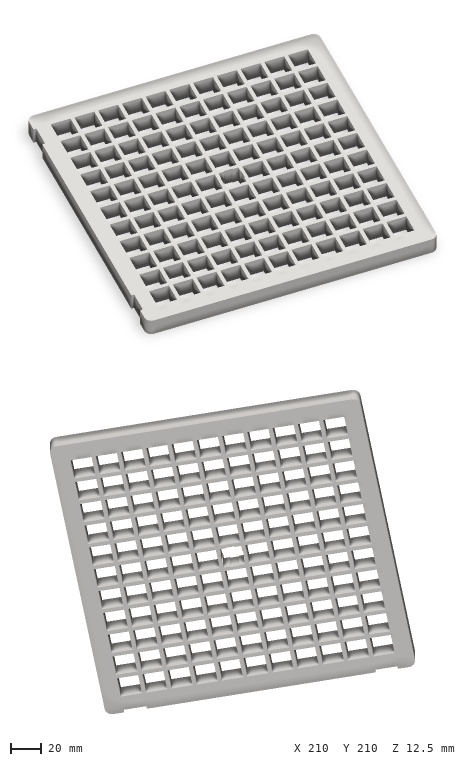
import cadquery as cq

plate_side = 210.0
plate_thickness = 12.5
corner_radius = 5.0

cells_per_side = 11
cell_size = 14.3
wall_thickness = 2.8
cell_pitch = cell_size + wall_thickness
grid_side = cells_per_side * cell_pitch - wall_thickness

groove_width = 6.0
groove_depth = 0.5
groove_span = cell_size + 2 * groove_depth

notch_width = 15.3
notch_depth = 2.0
notch_center_x = (grid_side - notch_width) / 2


def make_plate():
    """Square plate with rounded vertical corners, resting on Z = 0."""
    plate = cq.Workplane("XY").box(
        plate_side, plate_side, plate_thickness, centered=(True, True, False)
    )
    return plate.edges("|Z").fillet(corner_radius)


def full_height_cutter(size_x, size_y):
    """Rectangular cutter as tall as the plate, centred on the Z axis."""
    return cq.Workplane("XY").rect(size_x, size_y).extrude(plate_thickness)


def cut_grid(body):
    """Cut the centred array of square openings through the plate."""
    openings = (
        cq.Workplane("XY")
        .rarray(cell_pitch, cell_pitch, cells_per_side, cells_per_side)
        .rect(cell_size, cell_size)
        .extrude(plate_thickness)
    )
    return body.cut(openings)


def cut_center_grooves(body):
    """Cut a cross through the central cell, grooving each of its four walls."""
    body = body.cut(full_height_cutter(groove_width, groove_span))
    return body.cut(full_height_cutter(groove_span, groove_width))


def cut_edge_notches(body):
    """Cut the two full-height notches in the front edge."""
    front_y = -plate_side / 2
    cutter = full_height_cutter(notch_width, 2 * notch_depth)
    for side in (-1, 1):
        body = body.cut(cutter.translate((side * notch_center_x, front_y, 0)))
    return body


plate_with_grid = cut_grid(make_plate())
plate_with_grooves = cut_center_grooves(plate_with_grid)
result = cut_edge_notches(plate_with_grooves)